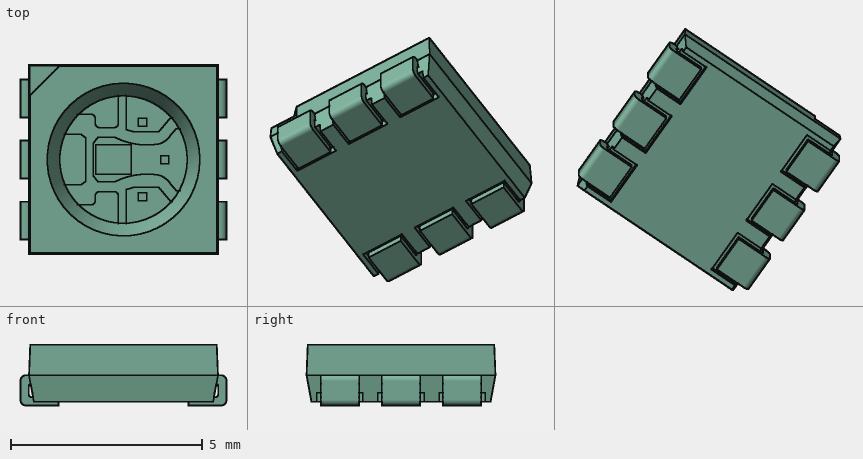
import cadquery as cq

span_x = 5.4
height = 1.6
body_side = 4.95
parting_z = height / 2
base_bottom_z = 0.095
reflector_inset = 0.03
base_inset = 0.13

rim_radius = 2.0
floor_radius = 1.67
neck_margin = 0.055

corner_cut_leg = 0.825
corner_cut_depth = 0.4

lead_pitch = 1.6
lead_width = 1.0
lead_thickness = 0.22
foot_length = 1.0
bend_outer_radius = 0.15
bend_inner_radius = 0.08
foot_clearance = 0.1
pocket_top_z = 0.335

chip_height = 0.005
led_side = 0.21
led_corner_x = 0.495
led_corner_y = 0.97
led_middle_x = 1.085
driver_length = 0.93
driver_width = 0.78
driver_x = -0.26

half_span = span_x / 2
half_body = body_side / 2
half_lead = lead_width / 2
lead_bottom_z = parting_z - lead_thickness
lead_inner_edge = lead_pitch - half_lead
lead_outer_edge = lead_pitch + half_lead
pad_end_x = half_body - base_inset
neck_x = floor_radius + neck_margin


def left_corner_pad():
    right_x = -0.135
    low_y = 0.835
    step_x = -0.74
    shelf_y = 1.19
    corner_radius = 0.115
    pad = (
        cq.Workplane("XY")
        .moveTo(right_x, lead_outer_edge)
        .lineTo(right_x, low_y)
        .lineTo(step_x, low_y)
        .lineTo(step_x, shelf_y)
        .lineTo(-neck_x, shelf_y)
        .lineTo(-neck_x, lead_inner_edge)
        .lineTo(-pad_end_x, lead_inner_edge)
        .lineTo(-pad_end_x, lead_outer_edge)
        .close()
        .extrude(lead_thickness)
    )
    for x, y in [(right_x, low_y), (step_x, low_y), (step_x, shelf_y)]:
        corner_edge = cq.selectors.NearestToPointSelector((x, y, lead_thickness / 2))
        pad = pad.edges(corner_edge).fillet(corner_radius)
    return pad


def left_middle_pad():
    right_x = -0.995
    half_width = 0.66
    chamfer_x = 0.115
    chamfer_y = 0.085
    upper_half = [
        (right_x, half_width - chamfer_y),
        (right_x - chamfer_x, half_width),
        (-neck_x, half_width),
        (-neck_x, half_lead),
        (-pad_end_x, half_lead),
    ]
    lower_half = [(x, -y) for x, y in reversed(upper_half)]
    return cq.Workplane("XY").polyline(upper_half + lower_half).close().extrude(lead_thickness)


def right_corner_pad():
    left_x = 0.075
    low_y = 0.73
    low_left_x = 0.26
    low_right_x = 0.925
    corner_rise = 0.055
    arm_start_x = 1.235
    outline = [
        (left_x, lead_outer_edge),
        (left_x, low_y + corner_rise),
        (low_left_x, low_y),
        (low_right_x, low_y),
        (arm_start_x, lead_inner_edge),
        (pad_end_x, lead_inner_edge),
        (pad_end_x, lead_outer_edge),
    ]
    return cq.Workplane("XY").polyline(outline).close().extrude(lead_thickness)


def right_middle_pad():
    left_x = -0.79
    head_half_width = 0.58
    head_end_x = -0.215
    chamfer_x = 0.12
    chamfer_y = 0.145
    waist_middle = (0.35, 0.4)
    waist_end = (0.945, 0.41)
    flare_middle = (1.135, 0.525)
    flare_end = (1.24, 0.655)
    tail_start_x = 1.38
    tail_half_width = 0.81
    upper_half = (
        cq.Workplane("XY")
        .moveTo(left_x, 0)
        .lineTo(left_x, head_half_width - chamfer_y)
        .lineTo(left_x + chamfer_x, head_half_width)
        .lineTo(head_end_x, head_half_width)
        .threePointArc(waist_middle, waist_end)
        .threePointArc(flare_middle, flare_end)
        .lineTo(tail_start_x, tail_half_width)
        .lineTo(neck_x, tail_half_width)
        .lineTo(neck_x, half_lead)
        .lineTo(pad_end_x, half_lead)
        .lineTo(pad_end_x, 0)
        .close()
        .extrude(lead_thickness)
    )
    return upper_half.union(upper_half.mirror("XZ"))


def bent_strip(side, y):
    """C-shaped strip from the pad end, down outside the base and back under it."""
    inner_x = half_span - lead_thickness
    strip = (
        cq.Workplane("XZ")
        .moveTo(pad_end_x, parting_z)
        .lineTo(half_span - bend_outer_radius, parting_z)
        .radiusArc((half_span, parting_z - bend_outer_radius), bend_outer_radius)
        .lineTo(half_span, bend_outer_radius)
        .radiusArc((half_span - bend_outer_radius, 0), bend_outer_radius)
        .lineTo(half_span - foot_length, 0)
        .lineTo(half_span - foot_length, lead_thickness)
        .lineTo(inner_x - bend_inner_radius, lead_thickness)
        .radiusArc((inner_x, lead_thickness + bend_inner_radius), -bend_inner_radius)
        .lineTo(inner_x, lead_bottom_z - bend_inner_radius)
        .radiusArc((inner_x - bend_inner_radius, lead_bottom_z), -bend_inner_radius)
        .lineTo(pad_end_x, lead_bottom_z)
        .close()
        .extrude(half_lead, both=True)
    )
    if side < 0:
        strip = strip.mirror("YZ")
    return strip.translate((0, y, 0))


def chip(length, width, x, y):
    """Thin chip, extended down through the pad so that it fuses with it."""
    seat = cq.Workplane("XY", origin=(x, y, lead_bottom_z))
    return seat.rect(length, width).extrude(lead_thickness + chip_height)


def lead(pad, side, y):
    return pad.translate((0, 0, lead_bottom_z)).union(bent_strip(side, y))


def make_leads():
    left_corner = lead(left_corner_pad(), -1, lead_pitch)
    left_middle = lead(left_middle_pad(), -1, 0)
    right_corner = lead(right_corner_pad(), 1, lead_pitch).union(
        chip(led_side, led_side, led_corner_x, led_corner_y)
    )
    right_middle = (
        lead(right_middle_pad(), 1, 0)
        .union(chip(led_side, led_side, led_middle_x, 0))
        .union(chip(driver_length, driver_width, driver_x, 0))
    )
    made = [left_middle, right_middle]
    for corner in (left_corner, right_corner):
        made += [corner, corner.mirror("XZ")]
    return made


def drafted_block(bottom_z, bottom_side, top_z, top_side):
    return (
        cq.Workplane("XY", origin=(0, 0, bottom_z))
        .rect(bottom_side, bottom_side)
        .workplane(offset=top_z - bottom_z)
        .rect(top_side, top_side)
        .loft(ruled=True)
    )


def make_base(leads):
    base = drafted_block(base_bottom_z, body_side - 2 * base_inset, parting_z, body_side)
    pocket_end_x = half_span - foot_length - foot_clearance
    pocket_length = half_span - pocket_end_x
    pocket_width = lead_width + 2 * foot_clearance
    for side in (-1, 1):
        for row in (-1, 0, 1):
            pocket = (
                cq.Workplane("XY")
                .box(pocket_length, pocket_width, pocket_top_z, centered=(True, True, False))
                .translate((side * (pocket_end_x + pocket_length / 2), row * lead_pitch, 0))
            )
            base = base.cut(pocket)
    for one_lead in leads:
        base = base.cut(one_lead)
    return base


def make_reflector():
    block = drafted_block(parting_z, body_side, height, body_side - 2 * reflector_inset)
    cavity = (
        cq.Workplane("XY", origin=(0, 0, parting_z))
        .circle(floor_radius)
        .workplane(offset=height - parting_z)
        .circle(rim_radius)
        .loft(ruled=True)
    )
    corner_cut = (
        cq.Workplane("XY", origin=(0, 0, height - corner_cut_depth))
        .moveTo(-half_body, half_body)
        .lineTo(-half_body + corner_cut_leg, half_body)
        .lineTo(-half_body, half_body - corner_cut_leg)
        .close()
        .extrude(corner_cut_depth)
    )
    return block.cut(cavity).cut(corner_cut)


leads = make_leads()
base = make_base(leads)
reflector = make_reflector()

lead_solids = [one_lead.solids().val() for one_lead in leads]

result = cq.Compound.makeCompound([base.solids().val(), reflector.solids().val(), *lead_solids])